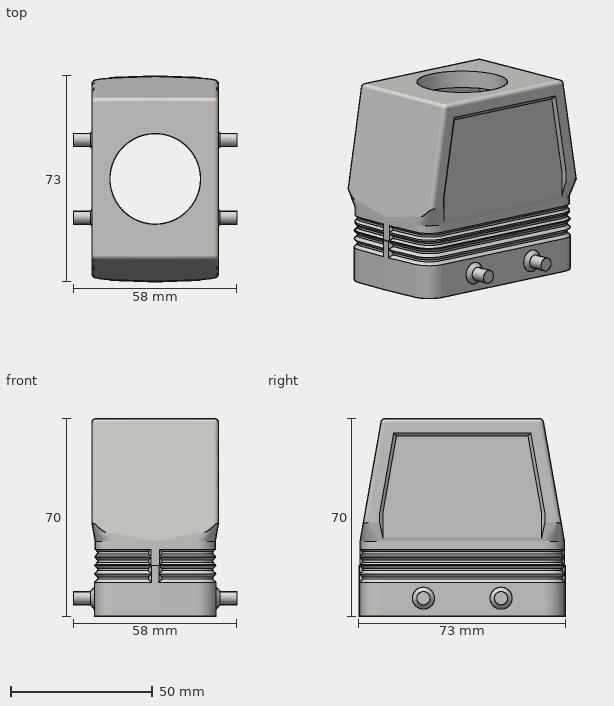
import cadquery as cq
import math

BASE_HALF_X = 21.55
BASE_HALF_Y = 36.495
BASE_RADIUS = 7.0
END_BEND = math.tan(math.radians(2.0))

COLLAR_STEP = 0.27
COLLAR_BOTTOM = 18.0
COLLAR_TOP = 26.5
COLLAR_HALF_X = BASE_HALF_X - COLLAR_STEP
COLLAR_HALF_Y = BASE_HALF_Y - COLLAR_STEP

HEIGHT = 70.0
HOOD_HALF_X = 22.45
TAPER = math.tan(math.radians(10.0))
HOOD_END_BEND = math.tan(math.radians(0.25))
HOOD_ROUND = 1.5
FLARE_TOP = COLLAR_TOP + (HOOD_HALF_X - COLLAR_HALF_X) / TAPER
FLARE_TOP_RADIUS = 2.0
FLARE_END_LEAN = 0.1

GROOVE_BOTTOM = 12.0
GROOVE_PITCH = 3.0
GROOVE_COUNT = 4
GROOVE_FLOOR = 0.75
GROOVE_DEPTH = (GROOVE_PITCH - GROOVE_FLOOR) / 2
GROOVE_HEIGHT = GROOVE_PITCH * GROOVE_COUNT
END_RIB_HALF_WIDTH = 1.25
END_RIB_DEPTH = 2.5

PANEL_FLOOR_X = 21.5
PANEL_TOP = 63.8
PANEL_KNEE = 36.6
PANEL_BOTTOM = 24.5
PANEL_TOP_HALF_Y = 23.3
PANEL_KNEE_HALF_Y = PANEL_TOP_HALF_Y + (PANEL_TOP - PANEL_KNEE) * TAPER
PANEL_WALL_RUN = 1.15

ENTRY_DIAMETER = 32.0
TOP_WALL = 6.0
END_WALL = 1.8
CAVITY_HALF_X = 19.0
CAVITY_TOP = HEIGHT - TOP_WALL

POST_INNER_X = 10.7
POST_INNER_Y = 25.6
POST_ROUND = 3.0

PIN_DIAMETER = 4.7
PIN_TIP_X = 29.0
PIN_HALF_SPACING = 13.75
PIN_Z = 6.4
PIN_COLLAR_DIAMETER = 7.8
PIN_COLLAR_TOP_X = 23.0

CUTTER_WIDTH = 80.0


def hood_half_y(z):
    """Half length of the tapered hood at height z, measured at mid width."""
    return COLLAR_HALF_Y - (z - COLLAR_TOP) * TAPER


def bent_outline(z, half_x, half_y, bend, radius=0.0):
    """Closed wire at height z: rectangle with V-bent ends and optional corner rounds."""
    corner_y = half_y - half_x * bend
    points = [
        (0, half_y),
        (half_x, corner_y),
        (half_x, -corner_y),
        (0, -half_y),
        (-half_x, -corner_y),
        (-half_x, corner_y),
    ]
    wire = cq.Wire.makePolygon([cq.Vector(x, y, z) for x, y in points], close=True)
    if radius == 0:
        return wire
    corners = [v for v in wire.Vertices() if abs(v.X) > half_x / 2]
    return wire.fillet2D(radius, corners)


def ruled(lower, upper):
    """Solid with straight sides between two matching outlines."""
    return cq.Workplane(obj=cq.Solid.makeLoft([lower, upper], True))


def skirt_outline(z, inset):
    return bent_outline(
        z, BASE_HALF_X - inset, BASE_HALF_Y - inset, END_BEND, BASE_RADIUS - inset
    )


def collar_outline(z):
    return skirt_outline(z, COLLAR_STEP)


def make_skirt_and_collar():
    skirt = ruled(skirt_outline(0, 0), skirt_outline(COLLAR_BOTTOM, 0))
    collar = ruled(collar_outline(COLLAR_BOTTOM), collar_outline(COLLAR_TOP))
    return skirt.union(collar)


def make_hood():
    lower = bent_outline(COLLAR_TOP, HOOD_HALF_X, hood_half_y(COLLAR_TOP), HOOD_END_BEND)
    upper = bent_outline(HEIGHT, HOOD_HALF_X, hood_half_y(HEIGHT), HOOD_END_BEND)
    hood = ruled(lower, upper)
    return hood.faces("<X or >X or >Z").edges("not <Z").fillet(HOOD_ROUND)


def make_flare():
    """Blend from the collar outline to the sharper, wider hood outline."""
    half_y = COLLAR_HALF_Y - FLARE_END_LEAN
    upper = bent_outline(FLARE_TOP, HOOD_HALF_X, half_y, END_BEND, FLARE_TOP_RADIUS)
    return ruled(collar_outline(COLLAR_TOP), upper)


def make_outer_body():
    hood = make_hood()
    below_flare_top = cq.Workplane().box(
        CUTTER_WIDTH, CUTTER_WIDTH, FLARE_TOP, centered=(True, True, False)
    )
    upper_hood = hood.cut(below_flare_top)
    flared_hood = hood.intersect(make_flare())
    return make_skirt_and_collar().union(flared_hood).union(upper_hood)


def make_groove_core(bottom):
    """What stays inside one groove: two 45 degree flanks with a straight floor between."""
    floor_bottom = bottom + GROOVE_DEPTH
    floor_top = floor_bottom + GROOVE_FLOOR
    top = bottom + GROOVE_PITCH
    lower_flank = ruled(skirt_outline(bottom, 0), skirt_outline(floor_bottom, GROOVE_DEPTH))
    floor = ruled(
        skirt_outline(floor_bottom, GROOVE_DEPTH), skirt_outline(floor_top, GROOVE_DEPTH)
    )
    upper_flank = ruled(skirt_outline(floor_top, GROOVE_DEPTH), skirt_outline(top, 0))
    return lower_flank.union(floor).union(upper_flank)


def make_end_rib(side):
    """Upright rib at mid width of one end, widening inward at 45 degrees."""
    inner_y = BASE_HALF_Y - END_RIB_DEPTH
    inner_half_width = END_RIB_HALF_WIDTH + END_RIB_DEPTH
    points = [
        (-END_RIB_HALF_WIDTH, side * BASE_HALF_Y),
        (END_RIB_HALF_WIDTH, side * BASE_HALF_Y),
        (inner_half_width, side * inner_y),
        (-inner_half_width, side * inner_y),
    ]
    return (
        cq.Workplane(origin=(0, 0, GROOVE_BOTTOM)).polyline(points).close().extrude(GROOVE_HEIGHT)
    )


def cut_grooves(body):
    cutter = cq.Workplane(origin=(0, 0, GROOVE_BOTTOM)).box(
        CUTTER_WIDTH, CUTTER_WIDTH, GROOVE_HEIGHT, centered=(True, True, False)
    )
    for index in range(GROOVE_COUNT):
        cutter = cutter.cut(make_groove_core(GROOVE_BOTTOM + index * GROOVE_PITCH))
    for side in (-1, 1):
        cutter = cutter.cut(make_end_rib(side))
    return body.cut(cutter)


def panel_outline(x, grow):
    """Panel outline on the plane at x, its top and sides moved outward by grow."""
    knee_half_y = PANEL_KNEE_HALF_Y + grow
    top = PANEL_TOP + grow
    top_half_y = knee_half_y - (top - PANEL_KNEE) * TAPER
    points = [
        (top_half_y, top),
        (knee_half_y, PANEL_KNEE),
        (knee_half_y, PANEL_BOTTOM),
        (-knee_half_y, PANEL_BOTTOM),
        (-knee_half_y, PANEL_KNEE),
        (-top_half_y, top),
    ]
    return cq.Wire.makePolygon([cq.Vector(x, y, z) for y, z in points], close=True)


def cut_side_panels(body):
    """Recess both side faces; the panel floor runs out through the flare at the bottom."""
    floor = panel_outline(PANEL_FLOOR_X, 0)
    opening = panel_outline(HOOD_HALF_X, PANEL_WALL_RUN)
    panel = ruled(floor, opening)
    return body.cut(panel).cut(panel.mirror("YZ"))


def make_posts():
    """Four corner posts with a rounded inner edge, running the full cavity height."""
    size_x = HOOD_HALF_X - POST_INNER_X
    size_y = BASE_HALF_Y - POST_INNER_Y
    post = (
        cq.Workplane(origin=(POST_INNER_X, POST_INNER_Y, 0))
        .box(size_x, size_y, CAVITY_TOP, centered=False)
        .edges("|Z and <X and <Y")
        .fillet(POST_ROUND)
    )
    pair = post.union(post.mirror("YZ"))
    return pair.union(pair.mirror("XZ"))


def cut_cavity(body):
    lower_half_y = COLLAR_HALF_Y - END_WALL
    upper_half_y = hood_half_y(CAVITY_TOP) - END_WALL
    points = [
        (-lower_half_y, 0),
        (lower_half_y, 0),
        (lower_half_y, COLLAR_TOP),
        (upper_half_y, CAVITY_TOP),
        (-upper_half_y, CAVITY_TOP),
        (-lower_half_y, COLLAR_TOP),
    ]
    cavity = cq.Workplane("YZ").polyline(points).close().extrude(CAVITY_HALF_X, both=True)
    entry = cq.Workplane().circle(ENTRY_DIAMETER / 2).extrude(HEIGHT)
    return body.cut(cavity.cut(make_posts())).cut(entry)


def make_pin(y):
    """Pin on the +X side, rooted in the wall, with a conical collar at its foot."""
    profile = [
        (CAVITY_HALF_X, 0),
        (CAVITY_HALF_X, PIN_COLLAR_DIAMETER / 2),
        (BASE_HALF_X, PIN_COLLAR_DIAMETER / 2),
        (PIN_COLLAR_TOP_X, PIN_DIAMETER / 2),
        (PIN_TIP_X, PIN_DIAMETER / 2),
        (PIN_TIP_X, 0),
    ]
    pin = cq.Workplane().polyline(profile).close().revolve(360, (0, 0, 0), (1, 0, 0))
    return pin.translate((0, y, PIN_Z))


def add_pins(body):
    for y in (-PIN_HALF_SPACING, PIN_HALF_SPACING):
        pin = make_pin(y)
        body = body.union(pin).union(pin.mirror("YZ"))
    return body


body = make_outer_body()
body = cut_grooves(body)
body = cut_side_panels(body)
body = cut_cavity(body)
result = add_pins(body)